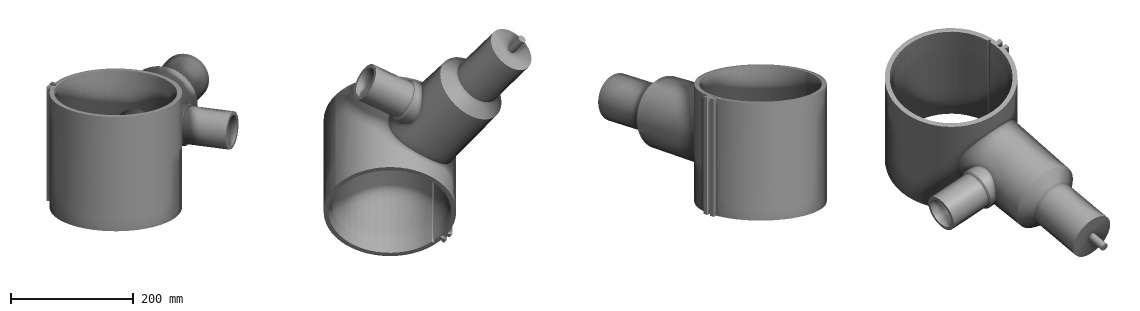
import cadquery as cq

ring_outer_radius = 108.0
ring_inner_radius = 100.05
ring_height = 200.0

lip_tip_x = -115.5
lip_neck_x = -107.5
gap_top_y = 4.0
gap_bottom_y = -3.5
gap_corner_radius = 3.0
lip_width = 8.5
lip_notch = 2.5
overlap_face_x = -102.5
recess_floor_x = -101.7
recess_open_x = -92.0
tongue_end_y = -16.0
recess_end_y = -21.0

tower_base_radius = 64.0
tower_shoulder_radius = 60.8
sleeve_radius = 40.0
stem_radius = 7.0
tower_base_y = 87.0
shoulder_y = 230.0
sleeve_start_y = 250.0
sleeve_end_y = 345.0
stem_end_y = 376.5

port_y = 144.5
collar_radius = 35.5
collar_end_x = 75.0
collar_chamfer = 2.5
port_radius = 31.5
port_end_x = 150.0

bore_radius = 35.0
bore_end_y = shoulder_y
port_bore_radius = 25.5


def z_prism(points):
    """Extrude an XY outline over the full ring height."""
    outline = cq.Workplane("XY").workplane(offset=-ring_height / 2)
    return outline.polyline(points).close().extrude(ring_height)


def z_cylinder(radius):
    base = cq.Workplane("XY").workplane(offset=-ring_height / 2)
    return base.circle(radius).extrude(ring_height)


def x_cylinder(radius, end_x):
    return cq.Workplane("YZ").center(port_y, 0).circle(radius).extrude(end_x)


def make_lip(gap_y, side):
    """Flared lip beside the split; side is +1 above the gap and -1 below it."""
    outer_y = gap_y + side * lip_width
    return z_prism([
        (overlap_face_x, gap_y),
        (lip_tip_x, gap_y),
        (lip_tip_x, outer_y),
        (lip_neck_x, outer_y - side * lip_notch),
        (overlap_face_x, outer_y - side * lip_notch),
    ])


def make_tower():
    profile = [
        (0, tower_base_y),
        (tower_base_radius, tower_base_y),
        (tower_shoulder_radius, shoulder_y),
        (sleeve_radius, sleeve_start_y),
        (sleeve_radius, sleeve_end_y),
        (stem_radius, sleeve_end_y),
        (stem_radius, stem_end_y),
        (0, stem_end_y),
    ]
    return cq.Workplane("XY").polyline(profile).close().revolve(360, (0, 0, 0), (0, 1, 0))


def make_port():
    collar = x_cylinder(collar_radius, collar_end_x).faces(">X").chamfer(collar_chamfer)
    return collar.union(x_cylinder(port_radius, port_end_x))


def make_split_cut():
    """Gap between the lips plus the recess that receives the tongue."""
    gap = z_prism([
        (lip_tip_x, gap_bottom_y),
        (lip_tip_x, gap_top_y),
        (overlap_face_x, gap_top_y),
        (overlap_face_x, gap_bottom_y),
    ])
    gap = gap.edges("|Z and >X and >Y").fillet(gap_corner_radius)
    recess = z_prism([
        (recess_floor_x, tongue_end_y),
        (recess_floor_x, recess_end_y),
        (recess_open_x, recess_end_y),
        (recess_open_x, tongue_end_y),
    ])
    return gap.union(recess)


outside = z_cylinder(ring_outer_radius)
for gap_y, side in ((gap_top_y, 1), (gap_bottom_y, -1)):
    outside = outside.union(make_lip(gap_y, side))
outside = outside.union(make_tower()).union(make_port())

tower_bore = cq.Workplane("XZ").circle(bore_radius).extrude(-bore_end_y)
port_bore = x_cylinder(port_bore_radius, port_end_x)

result = (
    outside
    .cut(z_cylinder(ring_inner_radius))
    .cut(make_split_cut())
    .cut(tower_bore)
    .cut(port_bore)
)